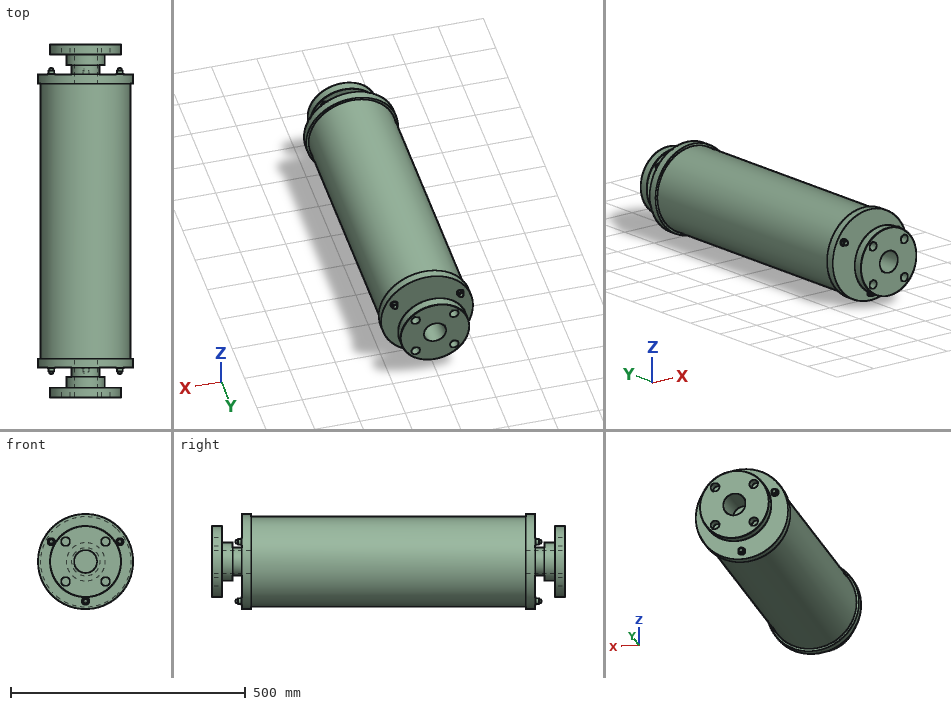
import cadquery as cq

length = 752.5

shell_diameter = 193.0
cover_diameter = 203.0
cover_thickness = 19.5
cover_offset = 64.0

pipe_diameter = 60.0
bore_diameter = 49.0
hub_diameter = 82.0
hub_length = 22.5
flange_diameter = 152.0
flange_thickness = 22.0
flange_chamfer = 1.0

hole_diameter = 19.0
hole_spacing = 85.0

fastener_count = 3
fastener_start_angle = 30
fastener_radius = 84.0
washer_diameter = 16.0
washer_thickness = 1.5
nut_diameter = 13.0
nut_height = 7.5
nut_chamfer = 1.5
dome_diameter = 9.0
dome_rounding = 4.0
fastener_height = 13.5

end_y = length / 2
cover_face_y = end_y - cover_offset
cover_inner_y = cover_face_y - cover_thickness
flange_back_y = end_y - flange_thickness
hub_back_y = flange_back_y - hub_length


def section(y):
    """Sketch plane across the axis at distance y from the middle, facing the +Y end."""
    return cq.Workplane(cq.Plane(origin=(0, y, 0), xDir=(-1, 0, 0), normal=(0, 1, 0)))


def disc(diameter, start_y, stop_y):
    """Solid cylinder on the part axis."""
    return section(start_y).circle(diameter / 2).extrude(stop_y - start_y)


def fasteners():
    """Washers and round, domed cap nuts standing on the cover face."""
    places = section(cover_face_y).polarArray(fastener_radius, fastener_start_angle, 360, fastener_count)
    washers = places.circle(washer_diameter / 2).extrude(washer_thickness)
    nuts = places.circle(nut_diameter / 2).extrude(washer_thickness + nut_height)
    nuts = nuts.faces(">Y").edges().chamfer(nut_chamfer)
    domes = places.circle(dome_diameter / 2).extrude(fastener_height)
    domes = domes.faces(">Y").edges().fillet(dome_rounding)
    return washers.union(nuts).union(domes)


def end_assembly():
    """Cover, fasteners, pipe, hub and drilled flange at the +Y end."""
    flange = disc(flange_diameter, flange_back_y, end_y).edges().chamfer(flange_chamfer)
    body = (
        disc(cover_diameter, cover_inner_y, cover_face_y)
        .union(disc(pipe_diameter, cover_face_y, hub_back_y))
        .union(disc(hub_diameter, hub_back_y, flange_back_y))
        .union(flange)
    )
    bore = disc(bore_diameter, cover_inner_y, end_y)
    bolt_holes = (
        section(flange_back_y)
        .rect(hole_spacing, hole_spacing, forConstruction=True)
        .vertices()
        .circle(hole_diameter / 2)
        .extrude(flange_thickness)
    )
    return body.cut(bore).cut(bolt_holes).union(fasteners())


shell = disc(shell_diameter, -cover_inner_y, cover_inner_y)
far_end = end_assembly()
near_end = far_end.mirror("XZ")
result = shell.union(far_end).union(near_end)